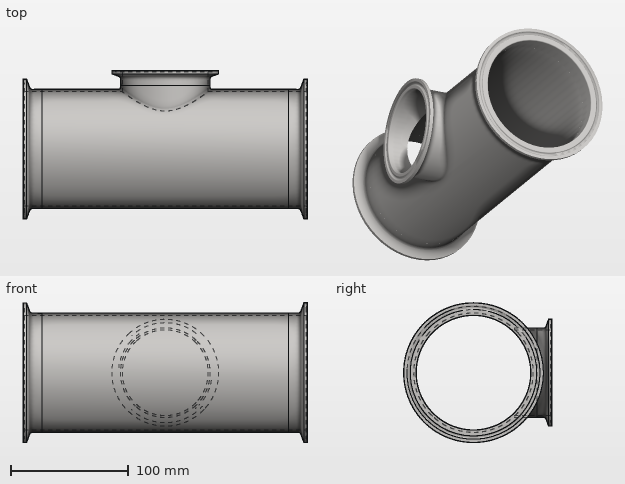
import cadquery as cq
import math

run_length = 241.4
branch_reach = 66.7

run_outer_radius = 101.6 / 2
run_bore_radius = 97.38 / 2
run_flange_radius = 118.92 / 2
run_ferrule_length = 15.9

branch_outer_radius = 76.2 / 2
branch_bore_radius = 72.9 / 2
branch_flange_radius = 90.91 / 2
branch_ferrule_length = 12.7

rim_thickness = 2.87
cone_angle = 20
neck_fillet = 2.0
bore_edge_fillet = 0.8
groove_inset = 4.3
groove_half_width = 1.5
groove_depth = 1.2
groove_edge_fillet = 0.6

junction_fillet = 1.5


def edges_at(body, radius, height):
    """Circular edges of a body of revolution about Z that have this radius and height."""
    tolerance = 1e-4
    return [
        edge
        for edge in body.edges("%CIRCLE").vals()
        if abs(edge.radius() - radius) < tolerance
        and abs(edge.Center().z - height) < tolerance
        and abs(edge.Center().x) < tolerance
    ]


def ferrule(neck_radius, bore_radius, flange_radius, length):
    """Clamp ferrule about the Z axis: face on Z = 0, neck running up to Z = length."""
    cone_height = (flange_radius - neck_radius) * math.tan(math.radians(cone_angle))
    cone_end = rim_thickness + cone_height
    groove_radius = flange_radius - groove_inset

    section = (
        cq.Workplane("XZ")
        .moveTo(bore_radius, 0)
        .lineTo(groove_radius - groove_half_width, 0)
        .threePointArc((groove_radius, groove_depth), (groove_radius + groove_half_width, 0))
        .lineTo(flange_radius, 0)
        .lineTo(flange_radius, rim_thickness)
        .lineTo(neck_radius, cone_end)
        .lineTo(neck_radius, length)
        .lineTo(bore_radius, length)
        .close()
    )
    body = section.revolve(360, (0, 0, 0), (0, 1, 0))

    neck_edge = edges_at(body, neck_radius, cone_end)
    body = body.newObject(neck_edge).fillet(neck_fillet)
    groove_edges = []
    for side in (-1, 1):
        groove_edges += edges_at(body, groove_radius + side * groove_half_width, 0)
    body = body.newObject(groove_edges).fillet(groove_edge_fillet)
    bore_edge = edges_at(body, bore_radius, 0)
    return body.newObject(bore_edge).fillet(bore_edge_fillet)


def tee_body():
    """Run tube with one short branch tube, open to each other inside."""
    tube_length = run_length - 2 * run_ferrule_length
    branch_length = branch_reach - branch_ferrule_length

    def along_run(radius):
        return cq.Workplane("YZ").circle(radius).extrude(tube_length / 2, both=True)

    def along_branch(radius):
        return cq.Workplane("XZ").circle(radius).extrude(-branch_length)

    outside = along_run(run_outer_radius).union(along_branch(branch_outer_radius))

    outside = outside.edges("not(%CIRCLE or %LINE)").fillet(junction_fillet)
    return outside.cut(along_run(run_bore_radius)).cut(along_branch(branch_bore_radius))


tee = tee_body()

run_ferrules = []
for side in (-1, 1):
    run_ferrules.append(
        ferrule(run_outer_radius, run_bore_radius, run_flange_radius, run_ferrule_length)
        .rotate((0, 0, 0), (0, 1, 0), -90 * side)
        .translate((side * run_length / 2, 0, 0))
    )

branch_ferrule = (
    ferrule(branch_outer_radius, branch_bore_radius, branch_flange_radius, branch_ferrule_length)
    .rotate((0, 0, 0), (1, 0, 0), 90)
    .translate((0, branch_reach, 0))
)

result = cq.Compound.makeCompound(
    [tee.val(), *[run_ferrule.val() for run_ferrule in run_ferrules], branch_ferrule.val()]
)